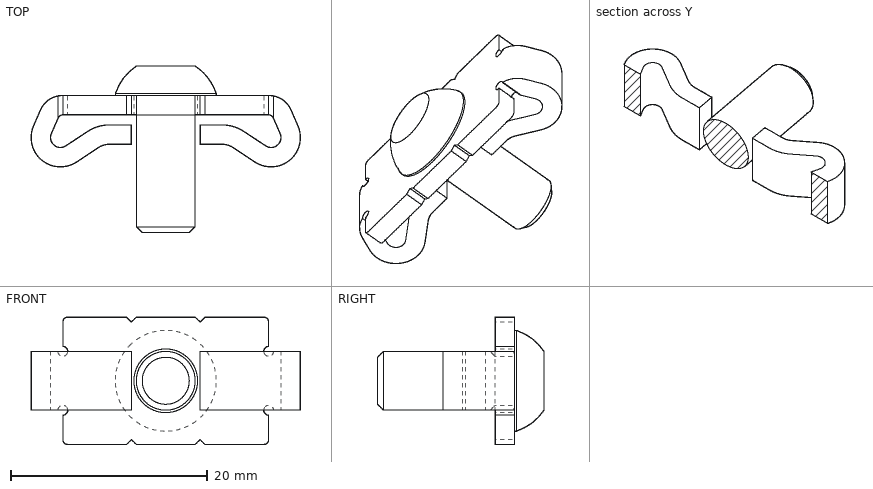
import math

import cadquery as cq

SHEET = 2.0
PLATE_WIDTH = 21.0
PLATE_HEIGHT = 13.0
CORNER_RADIUS = 0.5
NOTCH_X = 3.5
NOTCH_DEPTH = 0.5
SCREW_HOLE_DIAMETER = 6.5

OVERALL_WIDTH = 27.48
ARM_HEIGHT = 6.0
ARM_TIP_X = 3.5
ARM_GAP = 1.0
RELIEF_RADIUS = 0.5
LEAN_ANGLE = 66.5
FIRST_INNER_RADIUS = 0.5
LOOP_INNER_RADIUS = 1.0
LAST_INNER_RADIUS = 2.0
TIP_STRAIGHT = 2.25

SHANK_DIAMETER = 6.0
SHANK_LENGTH = 14.0
SHANK_CHAMFER = 0.6
HEAD_DIAMETER = 10.3
HEAD_FLAT_DIAMETER = 6.0
HEAD_HEIGHT = 3.0
HEAD_RIM = 0.2


def polar(center, radius, angle):
    """Point on a circle; the angle is in degrees from +X."""
    turn = math.radians(angle)
    return (center[0] + radius * math.cos(turn), center[1] + radius * math.sin(turn))


def make_plate():
    plate = (
        cq.Workplane("XY")
        .box(PLATE_WIDTH, SHEET, PLATE_HEIGHT)
        .translate((0, -SHEET / 2, 0))
        .edges("|Y")
        .fillet(CORNER_RADIUS)
    )
    hole = cq.Workplane("XZ").circle(SCREW_HOLE_DIAMETER / 2).extrude(SHEET)
    plate = plate.cut(hole)
    for x in (-NOTCH_X, NOTCH_X):
        for side in (-1, 1):
            edge_z = side * PLATE_HEIGHT / 2
            notch = (
                cq.Workplane("XZ")
                .moveTo(x - NOTCH_DEPTH, edge_z)
                .lineTo(x + NOTCH_DEPTH, edge_z)
                .lineTo(x, edge_z - side * NOTCH_DEPTH)
                .close()
                .extrude(SHEET)
            )
            plate = plate.cut(notch)
    return plate


def make_right_arm():
    first_inner = FIRST_INNER_RADIUS
    first_outer = first_inner + SHEET
    loop_inner = LOOP_INNER_RADIUS
    loop_outer = loop_inner + SHEET
    last_inner = LAST_INNER_RADIUS
    last_outer = last_inner + SHEET

    first_center = (PLATE_WIDTH / 2, -first_outer)
    lean_normal = 90 - LEAN_ANGLE
    lean_start = polar(first_center, first_outer - loop_outer, lean_normal)

    loop_x = OVERALL_WIDTH / 2 - loop_outer
    drop = (loop_x - lean_start[0]) / math.tan(math.radians(lean_normal))
    loop_center = (loop_x, lean_start[1] - drop)

    tip_outer_y = -SHEET - ARM_GAP
    last_center = (ARM_TIP_X + TIP_STRAIGHT, tip_outer_y - last_outer)

    across = loop_center[0] - last_center[0]
    rise = loop_center[1] - last_center[1]
    distance = math.hypot(across, rise)
    between = math.degrees(math.atan2(rise, across))
    slope_normal = between + math.degrees(math.acos((loop_outer + last_inner) / distance))

    loop_end = slope_normal - 180
    loop_middle = (lean_normal + loop_end) / 2
    last_middle = (slope_normal + 90) / 2
    first_middle = (90 + lean_normal) / 2

    profile = (
        cq.Workplane("XY")
        .moveTo(*polar(first_center, first_outer, 90))
        .threePointArc(
            polar(first_center, first_outer, first_middle), polar(first_center, first_outer, lean_normal)
        )
        .lineTo(*polar(loop_center, loop_outer, lean_normal))
        .threePointArc(
            polar(loop_center, loop_outer, loop_middle), polar(loop_center, loop_outer, loop_end)
        )
        .lineTo(*polar(last_center, last_inner, slope_normal))
        .threePointArc(
            polar(last_center, last_inner, last_middle), polar(last_center, last_inner, 90)
        )
        .lineTo(ARM_TIP_X, tip_outer_y - SHEET)
        .lineTo(ARM_TIP_X, tip_outer_y)
        .lineTo(*polar(last_center, last_outer, 90))
        .threePointArc(
            polar(last_center, last_outer, last_middle), polar(last_center, last_outer, slope_normal)
        )
        .lineTo(*polar(loop_center, loop_inner, loop_end))
        .threePointArc(
            polar(loop_center, loop_inner, loop_middle), polar(loop_center, loop_inner, lean_normal)
        )
        .lineTo(*polar(first_center, first_inner, lean_normal))
        .threePointArc(
            polar(first_center, first_inner, first_middle), polar(first_center, first_inner, 90)
        )
        .close()
    )
    return profile.extrude(ARM_HEIGHT / 2, both=True)


def make_bend_reliefs():
    """Round cuts where the arm edges meet the sides of the plate."""
    corners = [(x * PLATE_WIDTH / 2, z * ARM_HEIGHT / 2) for x in (-1, 1) for z in (-1, 1)]
    depth = SHEET + FIRST_INNER_RADIUS
    return cq.Workplane("XZ").pushPoints(corners).circle(RELIEF_RADIUS).extrude(depth)


def make_screw():
    shank_radius = SHANK_DIAMETER / 2
    head_radius = HEAD_DIAMETER / 2
    flat_radius = HEAD_FLAT_DIAMETER / 2

    dome_center_y = (HEAD_HEIGHT**2 + flat_radius**2 - HEAD_RIM**2 - head_radius**2) / (
        2 * (HEAD_HEIGHT - HEAD_RIM)
    )
    dome_radius = math.hypot(flat_radius, HEAD_HEIGHT - dome_center_y)
    middle_y = (HEAD_RIM + HEAD_HEIGHT) / 2
    middle_radius = math.sqrt(dome_radius**2 - (middle_y - dome_center_y) ** 2)

    return (
        cq.Workplane("XY")
        .moveTo(0, HEAD_HEIGHT)
        .lineTo(flat_radius, HEAD_HEIGHT)
        .threePointArc((middle_radius, middle_y), (head_radius, HEAD_RIM))
        .lineTo(head_radius, 0)
        .lineTo(shank_radius, 0)
        .lineTo(shank_radius, -SHANK_LENGTH + SHANK_CHAMFER)
        .lineTo(shank_radius - SHANK_CHAMFER, -SHANK_LENGTH)
        .lineTo(0, -SHANK_LENGTH)
        .close()
        .revolve(360, (0, 0, 0), (0, 1, 0))
    )


right_arm = make_right_arm()
left_arm = right_arm.mirror("YZ")
clip = make_plate().union(right_arm).union(left_arm).cut(make_bend_reliefs())
result = clip.union(make_screw())